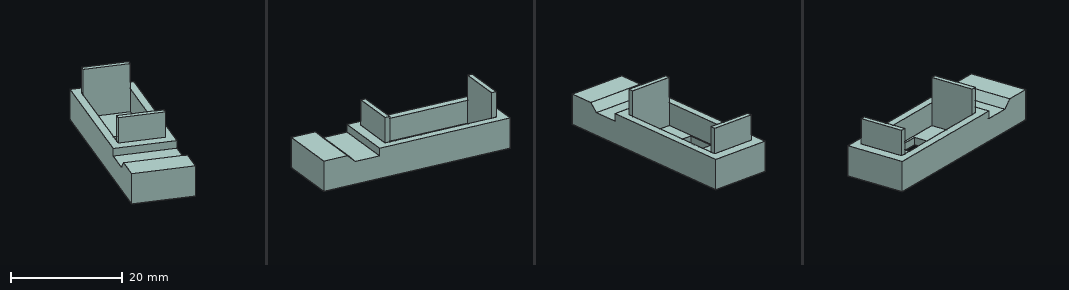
import cadquery as cq

body_length = 38.5
body_width = 12.0
body_height = 6.0

pocket_start = 2.0
pocket_length = 23.0
pocket_width = 8.9
floor_thickness = 1.5

plate_thickness = 1.0
plate_top = 11.0

window_start = 12.6
window_length = 5.4
window_width = 8.2
window_side_margin = 1.8

notch_start = 27.0
notch_floor_length = 5.0
notch_depth = 1.5


def block(start, side_margin, length, width, bottom, top):
    """Box given by its X start, its distance from the Y = 0 side and its Z range."""
    solid = cq.Workplane("XY").box(length, width, top - bottom, centered=False)
    return solid.translate((start, side_margin, bottom))


def make_body():
    """Block whose side profile includes the ramped notch."""
    notch_floor_end = notch_start + notch_floor_length
    notch_floor_height = body_height - notch_depth
    profile = [
        (0, 0),
        (body_length, 0),
        (body_length, body_height),
        (notch_floor_end + notch_depth, body_height),
        (notch_floor_end, notch_floor_height),
        (notch_start, notch_floor_height),
        (notch_start, body_height),
        (0, body_height),
    ]
    return cq.Workplane("XZ").polyline(profile).close().extrude(-body_width)


def make_pocket_block(start, length, top):
    """Box as wide as the pocket that rises from the pocket floor."""
    side_margin = (body_width - pocket_width) / 2
    return block(start, side_margin, length, pocket_width, floor_thickness, top)


def make_window():
    """Rectangular opening through the floor, slightly off the body centreline."""
    return block(window_start, window_side_margin, window_length, window_width, 0, floor_thickness)


pocket = make_pocket_block(pocket_start, pocket_length, body_height)
result = make_body().cut(pocket).cut(make_window())

far_plate_start = pocket_start + pocket_length - plate_thickness
for plate_start in (pocket_start, far_plate_start):
    result = result.union(make_pocket_block(plate_start, plate_thickness, plate_top))